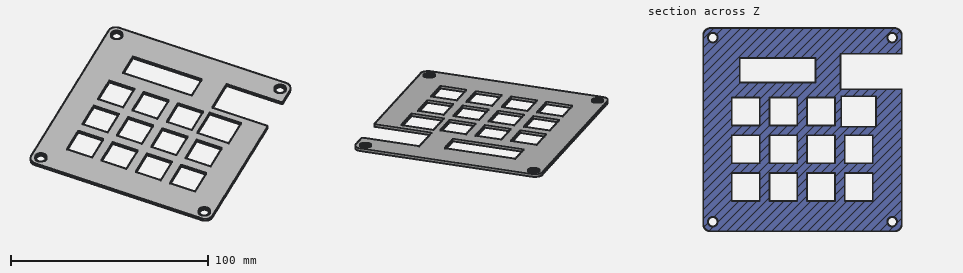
import cadquery as cq

width = 100.8
length = 103.2
thickness = 1.5
corner_radius = 3.9

hole_inset = 5.0
hole_diameter = 4.7
counterbore_diameter = 6.0
counterbore_depth = 0.6

key_size = 14.0
key_pitch = 19.1
key_columns = 4
key_rows = 3
first_key_x = -28.8
first_key_y = -29.0

knob_width = 17.5
knob_length = 15.4

display_width = 38.3
display_length = 12.4
display_x = -12.6
display_y = 30.1

notch_depth = 31.1
notch_length = 17.9
notch_y = 29.5
notch_mouth_radius = 0.5


def window(x, y, size_x, size_y):
    """Rectangular cutter through the full thickness, centred on (x, y)."""
    return cq.Workplane("XY").center(x, y).rect(size_x, size_y).extrude(thickness)


plate = cq.Workplane("XY").rect(width, length).extrude(thickness)
plate = plate.edges("|Z").fillet(corner_radius)

plate = plate.cut(window(width / 2 - notch_depth / 2, notch_y, notch_depth, notch_length))
for side in (-1, 1):
    mouth_corner = (width / 2, notch_y + side * notch_length / 2, thickness / 2)
    plate = plate.edges(cq.selectors.NearestToPointSelector(mouth_corner)).fillet(notch_mouth_radius)

for column in range(key_columns):
    for row in range(key_rows):
        x = first_key_x + column * key_pitch
        y = first_key_y + row * key_pitch
        if column == key_columns - 1 and row == key_rows - 1:
            plate = plate.cut(window(x, y, knob_width, knob_length))
        else:
            plate = plate.cut(window(x, y, key_size, key_size))

plate = plate.cut(window(display_x, display_y, display_width, display_length))

plate = (
    plate.faces(">Z")
    .workplane(origin=(0, 0, thickness))
    .rect(width - 2 * hole_inset, length - 2 * hole_inset, forConstruction=True)
    .vertices()
    .cboreHole(hole_diameter, counterbore_diameter, counterbore_depth)
)

result = plate